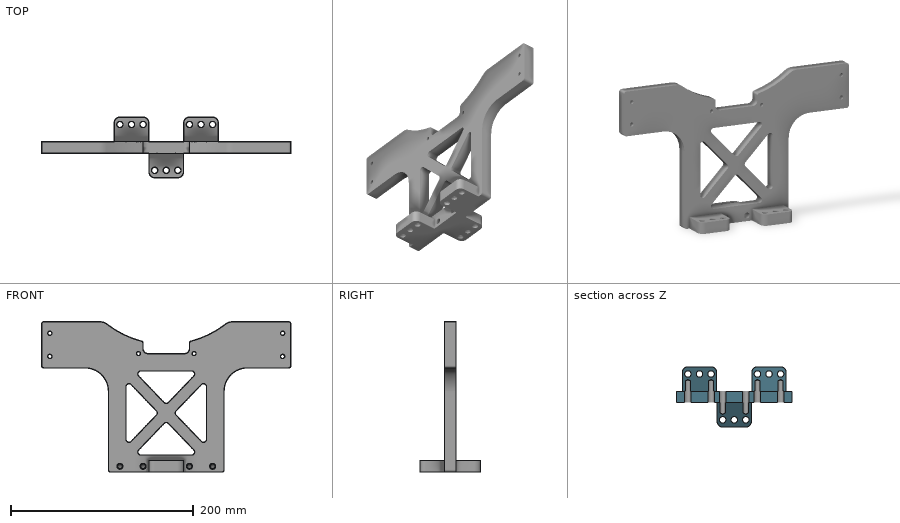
import cadquery as cq
import math

plate_length = 273.5
plate_height = 165.2
thickness = 12.9
overall_depth = 66.7
tab_reach = (overall_depth - thickness) / 2
hole_pitch = 25.5

wing_height = 2 * hole_pitch
neck_width = 5 * hole_pitch
notch_width = 2 * hole_pitch
notch_floor = 130.2
scoop_radius = 106.5
scoop_center_height = 246.8
outer_corner_radius = 2.5
inner_corner_radius = hole_pitch
shoulder_radius = 13.5
lip_radius = 2.2
notch_radius = 5.5

window_width = 88.4
window_bottom = 19.0
window_top = 111.0
brace_width = 12.5
window_radius = 3.3

wing_hole_diameter = 4.5
wing_hole_edge = 9.0
notch_hole_diameter = 4.0
notch_hole_spacing = 61.0
bolt_clearance_diameter = 6.5

tab_width = 1.5 * hole_pitch
tab_corner_radius = 6.5
tab_hole_diameter = 6.5
tab_hole_edge = 8.2
tab_hole_pitch = hole_pitch / 2
tapped_hole_diameter = 5.2
tapped_hole_depth = 11.0
drill_point_angle = 118.0

tab_places = [(-tab_width, 0), (0, 180), (tab_width, 0)]
bolt_height = thickness / 2
bolt_offsets = [-hole_pitch / 2, hole_pitch / 2]


def upright_block(width, bottom, top):
    """Block as thick as the plate, centred on X and Y, between two heights."""
    block = cq.Workplane("XY").box(width, thickness, top - bottom, centered=(True, True, False))
    return block.translate((0, 0, bottom))


def cross_bores(points, diameter):
    """Cutters along Y, right through the plate, at (x, z) points."""
    plane = cq.Workplane("XZ").pushPoints(points)
    return plane.circle(diameter / 2).extrude(thickness, both=True)


def mirrored_edges_near(body, x, z):
    """The edges along Y closest to (x, z) and to (-x, z)."""
    found = []
    for side in (-1, 1):
        selector = cq.selectors.NearestToPointSelector((side * x, 0, z))
        found.append(body.edges("|Y").edges(selector).val())
    return body.newObject(found)


def make_outline():
    """T-shaped plate with scooped top edge and central notch, corners rounded."""
    wing_bottom = plate_height - wing_height
    wings = upright_block(plate_length, wing_bottom, plate_height)
    neck = upright_block(neck_width, 0, plate_height)
    scoop = cross_bores([(0, scoop_center_height)], 2 * scoop_radius)
    notch = upright_block(notch_width, notch_floor, plate_height)
    outline = wings.union(neck).cut(scoop).cut(notch)

    shoulder_x = math.sqrt(scoop_radius**2 - (scoop_center_height - plate_height) ** 2)
    lip_z = scoop_center_height - math.sqrt(scoop_radius**2 - (notch_width / 2) ** 2)
    corners = [
        (plate_length / 2, plate_height, outer_corner_radius),
        (plate_length / 2, wing_bottom, outer_corner_radius),
        (neck_width / 2, 0, outer_corner_radius),
        (neck_width / 2, wing_bottom, inner_corner_radius),
        (shoulder_x, plate_height, shoulder_radius),
        (notch_width / 2, lip_z, lip_radius),
        (notch_width / 2, notch_floor, notch_radius),
    ]
    for x, z, radius in corners:
        outline = mirrored_edges_near(outline, x, z).fillet(radius)
    return outline


def make_window():
    """Four rounded triangles left between the diagonal braces of a rectangle."""
    window_height = window_top - window_bottom
    middle = (window_top + window_bottom) / 2
    diagonal = math.hypot(window_width, window_height)
    slope = math.degrees(math.atan2(window_height, window_width))
    window = upright_block(window_width, window_bottom, window_top)
    for angle in (slope, -slope):
        brace = cq.Workplane("XY").box(2 * diagonal, thickness, brace_width)
        brace = brace.rotate((0, 0, 0), (0, 1, 0), angle).translate((0, 0, middle))
        window = window.cut(brace)
    return window.edges("|Y").fillet(window_radius)


def make_plate():
    """Upright plate with its window, wing holes, notch holes and bolt holes."""
    wing_hole_x = plate_length / 2 - wing_hole_edge
    wing_middle = plate_height - wing_height / 2
    wing_points = []
    for x in (-wing_hole_x, wing_hole_x):
        for dz in (-hole_pitch / 2, hole_pitch / 2):
            wing_points.append((x, wing_middle + dz))
    notch_points = [(side * notch_hole_spacing / 2, notch_floor) for side in (-1, 1)]
    bolt_points = [(x + dx, bolt_height) for x, _ in tab_places for dx in bolt_offsets]

    plate_body = make_outline().cut(make_window())
    plate_body = plate_body.cut(cross_bores(wing_points, wing_hole_diameter))
    plate_body = plate_body.cut(cross_bores(notch_points, notch_hole_diameter))
    return plate_body.cut(cross_bores(bolt_points, bolt_clearance_diameter))


def make_tapped_bore():
    """Blind bore cutter along +Y with a conical drill point, starting at the origin."""
    radius = tapped_hole_diameter / 2
    point_length = radius / math.tan(math.radians(drill_point_angle / 2))
    profile = cq.Workplane("XY").polyline([
        (0, 0),
        (radius, 0),
        (radius, tapped_hole_depth),
        (0, tapped_hole_depth + point_length),
    ]).close()
    return profile.revolve(360, (0, 0, 0), (0, 1, 0))


def make_tab(x, turn):
    """Mounting tab standing on a plate face, with three upright holes and two blind bores."""
    face = thickness / 2
    body = cq.Workplane("XY").box(tab_width, tab_reach, thickness, centered=(True, False, False))
    body = body.edges("|Z and >Y").fillet(tab_corner_radius)
    hole_y = tab_reach - tab_hole_edge
    hole_points = [(step * tab_hole_pitch, hole_y) for step in (-1, 0, 1)]
    holes = cq.Workplane("XY").pushPoints(hole_points).circle(tab_hole_diameter / 2).extrude(thickness)
    body = body.cut(holes)
    for dx in bolt_offsets:
        body = body.cut(make_tapped_bore().translate((dx, 0, bolt_height)))
    body = body.translate((0, face, 0)).rotate((0, 0, 0), (0, 0, 1), turn)
    return body.translate((x, 0, 0))


plate = make_plate()
tabs = [make_tab(x, turn) for x, turn in tab_places]

result = cq.Compound.makeCompound([plate.val(), *[tab.val() for tab in tabs]])